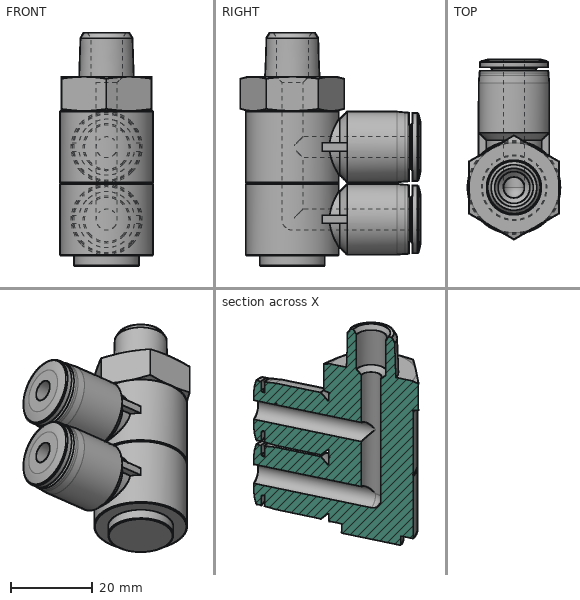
import cadquery as cq
import math

body_dia = 23.0
body_length = 17.85
body_chamfer = 0.25
body_count = 2
plug_dia = 16.1
plug_height = 2.6
plug_chamfer = 0.25
stack_top = plug_height + body_count * body_length

total_height = 57.6
hex_flats = 22.25
hex_corners = hex_flats / math.cos(math.pi / 6)
hex_top = 46.65
hex_face_dia = 22.2
hex_chamfer_angle = math.radians(15)
spigot_base_dia = 13.55
spigot_upper_dia = 12.9
spigot_tip_dia = 11.25
spigot_chamfer_height = 1.4

passage_dia = 5.2
bore_dia = 7.85
bore_mouth_dia = 9.5
bore_mouth_depth = 1.25
bore_floor = hex_top
bore_cone_height = (bore_dia - passage_dia) / 2

total_depth = 44.5
branch_end = total_depth - hex_corners / 2
sleeve_dia = 17.5
sleeve_end_dia = 17.1
sleeve_rim_dia = 16.8
sleeve_start = 13.55
sleeve_taper_start = 25.8
sleeve_taper_end = 27.7
sleeve_rim_start = 28.35
sleeve_end = 28.8
root_dia = 13.8
root_cone_length = (sleeve_dia - root_dia) / 2
rib_thickness = 2.0
collar_dia = 10.95
collar_flare = 0.35
disc_dia = 16.8
disc_start = 29.6
disc_edge = 30.9
disc_edge_chamfer = 0.3
disc_face_dia = 10.95
dome_mid_dia = 14.4
dome_mid = 31.45


def cylinder(diameter, bottom, height):
    return cq.Workplane("XY", origin=(0, 0, bottom)).circle(diameter / 2).extrude(height)


def banjo_body(bottom):
    return cylinder(body_dia, bottom, body_length).edges("%CIRCLE").chamfer(body_chamfer)


def hexagon():
    height = hex_top - stack_top
    prism = (
        cq.Workplane("XY", origin=(0, 0, stack_top))
        .polygon(6, hex_corners)
        .extrude(height)
        .rotate((0, 0, 0), (0, 0, 1), 30)
    )
    face_radius = hex_face_dia / 2
    corner_radius = hex_corners / 2
    drop = (corner_radius - face_radius) * math.tan(hex_chamfer_angle)
    envelope = (
        cq.Workplane("XZ")
        .moveTo(0, stack_top)
        .lineTo(face_radius, stack_top)
        .lineTo(corner_radius, stack_top + drop)
        .lineTo(corner_radius, hex_top - drop)
        .lineTo(face_radius, hex_top)
        .lineTo(0, hex_top)
        .close()
        .revolve()
    )
    return prism.intersect(envelope)


def spigot():
    return (
        cq.Workplane("XZ")
        .moveTo(0, hex_top)
        .lineTo(spigot_base_dia / 2, hex_top)
        .lineTo(spigot_upper_dia / 2, total_height - spigot_chamfer_height)
        .lineTo(spigot_tip_dia / 2, total_height)
        .lineTo(0, total_height)
        .close()
        .revolve()
    )


def branch(center):
    profile = (
        cq.Workplane("XY", origin=(0, 0, center))
        .lineTo(root_dia / 2, 0)
        .lineTo(root_dia / 2, sleeve_start - root_cone_length)
        .lineTo(sleeve_dia / 2, sleeve_start)
        .lineTo(sleeve_dia / 2, sleeve_taper_start)
        .lineTo(sleeve_end_dia / 2, sleeve_taper_end)
        .lineTo(sleeve_end_dia / 2, sleeve_rim_start)
        .lineTo(sleeve_rim_dia / 2, sleeve_end)
        .lineTo(collar_dia / 2, sleeve_end)
        .lineTo(collar_dia / 2, disc_start - collar_flare)
        .lineTo(collar_dia / 2 + collar_flare, disc_start)
        .lineTo(disc_dia / 2, disc_start)
        .lineTo(disc_dia / 2, disc_edge)
        .lineTo(disc_dia / 2 - disc_edge_chamfer, disc_edge + disc_edge_chamfer)
        .threePointArc((dome_mid_dia / 2, dome_mid), (disc_face_dia / 2, branch_end))
        .lineTo(0, branch_end)
        .close()
    )
    fitting = profile.revolve(360, (0, 0, 0), (0, 1, 0))
    rib = cq.Workplane("XY", origin=(0, sleeve_start / 2, center)).box(
        sleeve_dia, sleeve_start, rib_thickness
    )
    return fitting.union(rib)


def branch_passage(center):
    return cq.Workplane("XZ", origin=(0, 0, center)).circle(passage_dia / 2).extrude(-branch_end)


def main_bore(lowest_center):
    passage_radius = passage_dia / 2
    diagonal = passage_radius * math.sqrt(0.5)
    return (
        cq.Workplane("XZ")
        .moveTo(0, lowest_center - passage_radius)
        .threePointArc((diagonal, lowest_center - diagonal), (passage_radius, lowest_center))
        .lineTo(passage_radius, bore_floor - bore_cone_height)
        .lineTo(bore_dia / 2, bore_floor)
        .lineTo(bore_dia / 2, total_height - bore_mouth_depth)
        .lineTo(bore_mouth_dia / 2, total_height)
        .lineTo(0, total_height)
        .close()
        .revolve()
    )


body_bottoms = [plug_height + index * body_length for index in range(body_count)]
branch_centers = [bottom + body_length / 2 for bottom in body_bottoms]

result = cylinder(plug_dia, 0, plug_height).faces("<Z").chamfer(plug_chamfer)
for bottom in body_bottoms:
    result = result.union(banjo_body(bottom))
result = result.union(hexagon()).union(spigot())
for center in branch_centers:
    result = result.union(branch(center))

result = result.cut(main_bore(branch_centers[0]))
for center in branch_centers:
    result = result.cut(branch_passage(center))